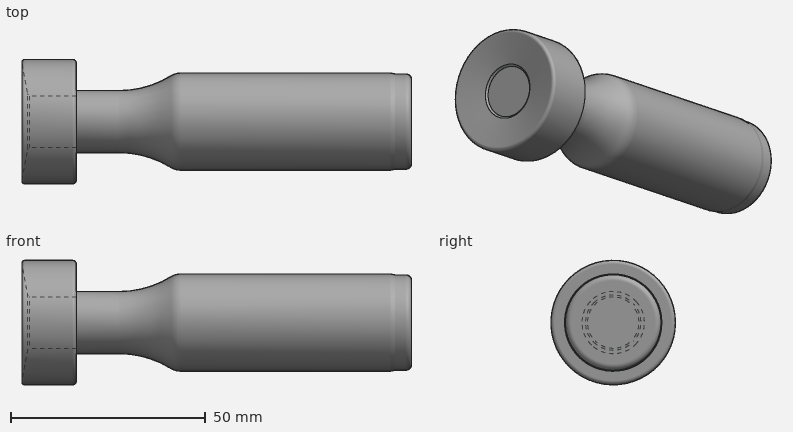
import cadquery as cq
import math

LENGTH = 100.0
HEAD_LENGTH = 14.0
HEAD_DIAMETER = 32.0
FRONT_ROUND = 0.8
REAR_ROUND = 1.0

DISH_DEPTH = 1.5
SPIGOT_DIAMETER = 13.2
BORE_CHAMFER = 0.5
BORE_MOUTH_DIAMETER = SPIGOT_DIAMETER + 2 * BORE_CHAMFER
SPIGOT_START = DISH_DEPTH + BORE_CHAMFER

NECK_DIAMETER = 16.0
BARREL_DIAMETER = 25.0
FLARE_START = 25.0
FLARE_HOLLOW_RADIUS = 25.0
FLARE_CREST_RADIUS = 5.0
REAR_DIAMETER = 24.5
REAR_LAND_LENGTH = 4.2
REAR_TAPER_LENGTH = 1.2
END_ROUND = 1.5


def revolve_about_x(profile):
    return profile.close().revolve(360, (0, 0, 0), (1, 0, 0))


def make_head():
    """Dished disc with rounded rims and a chamfered bore for the spigot."""
    radius = HEAD_DIAMETER / 2
    bore_radius = SPIGOT_DIAMETER / 2
    mouth_radius = BORE_MOUTH_DIAMETER / 2
    round_centre_r = radius - FRONT_ROUND
    span = math.hypot(round_centre_r - mouth_radius, DISH_DEPTH - FRONT_ROUND)
    rise = math.atan2(DISH_DEPTH - FRONT_ROUND, round_centre_r - mouth_radius)
    dish_angle = rise + math.asin(FRONT_ROUND / span)

    def on_round(angle):
        return (
            FRONT_ROUND - FRONT_ROUND * math.cos(angle),
            round_centre_r + FRONT_ROUND * math.sin(angle),
        )

    profile = (
        cq.Workplane("XY")
        .moveTo(SPIGOT_START, bore_radius)
        .lineTo(DISH_DEPTH, mouth_radius)
        .lineTo(*on_round(-dish_angle))
        .threePointArc(on_round(math.pi / 4), (FRONT_ROUND, radius))
        .lineTo(HEAD_LENGTH - REAR_ROUND, radius)
        .radiusArc((HEAD_LENGTH, radius - REAR_ROUND), REAR_ROUND)
        .lineTo(HEAD_LENGTH, bore_radius)
    )
    return revolve_about_x(profile)


def make_shank():
    """Spigot, neck, flare, barrel and rounded rear end, turned as one piece."""
    spigot_radius = SPIGOT_DIAMETER / 2
    neck_radius = NECK_DIAMETER / 2
    barrel_radius = BARREL_DIAMETER / 2
    rear_radius = REAR_DIAMETER / 2
    land_start = LENGTH - REAR_LAND_LENGTH

    flare_rise = barrel_radius - neck_radius
    arc_sum = FLARE_HOLLOW_RADIUS + FLARE_CREST_RADIUS
    flare_angle = math.acos(1 - flare_rise / arc_sum)
    flare_middle = (
        FLARE_START + FLARE_HOLLOW_RADIUS * math.sin(flare_angle),
        neck_radius + FLARE_HOLLOW_RADIUS * (1 - math.cos(flare_angle)),
    )
    flare_end = FLARE_START + arc_sum * math.sin(flare_angle)

    profile = (
        cq.Workplane("XY")
        .moveTo(SPIGOT_START, 0)
        .lineTo(SPIGOT_START, spigot_radius)
        .lineTo(HEAD_LENGTH, spigot_radius)
        .lineTo(HEAD_LENGTH, neck_radius)
        .lineTo(FLARE_START, neck_radius)
        .radiusArc(flare_middle, -FLARE_HOLLOW_RADIUS)
        .radiusArc((flare_end, barrel_radius), FLARE_CREST_RADIUS)
        .lineTo(land_start - REAR_TAPER_LENGTH, barrel_radius)
        .lineTo(land_start, rear_radius)
        .lineTo(LENGTH - END_ROUND, rear_radius)
        .radiusArc((LENGTH, rear_radius - END_ROUND), END_ROUND)
        .lineTo(LENGTH, 0)
    )
    return revolve_about_x(profile)


head = make_head()
shank = make_shank()

result = cq.Compound.makeCompound([head.val(), shank.val()])